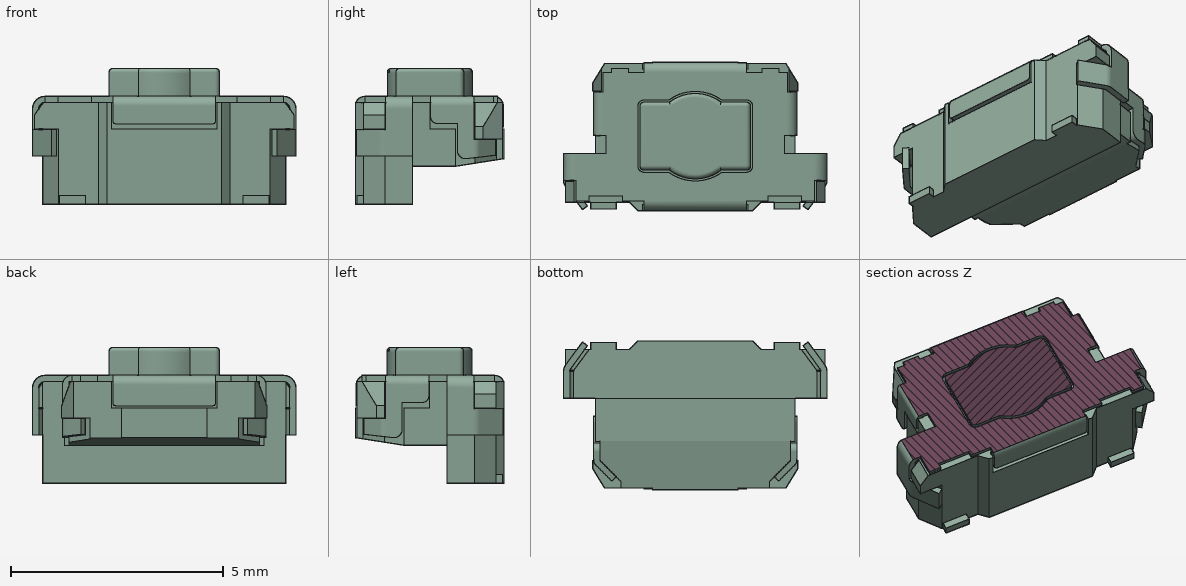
import cadquery as cq
import math


total_height = 3.2
cover_top = 2.54
sheet = 0.15
housing_top = cover_top - sheet

button_half_x = 1.3
button_half_y = 0.8
button_lobe_radius = 1.005
button_center_y = 1.755
button_edge_radius = 0.1
button_clearance = 0.05

wing_rear_y = 1.35
relief_half_x = 2.095
front_notch_x = (1.71, 2.5)
front_notch_depth = 0.12
rear_tongue_x = (1.575, 1.97)
rear_tongue_length = 0.09

bend_radius = 0.23
wing_bend_radius = 0.3
wing_outer_x = 3.1
wing_front_y = 0.71
wing_bottom = 1.135
end_flange_half_x = 1.21
end_flange_corner_radius = 0.075
front_flange_bottom = 1.89
rear_flange_bottom = 1.82
rear_flange_y = 3.485
plate_front_y = bend_radius
plate_rear_y = rear_flange_y - bend_radius
side_outer_x = 2.395
side_front_y = 1.775
side_rear_y = 2.79
side_leg_front_y = 2.4
side_step_z = 1.905
side_bottom = 1.07
side_tip_bottom = 1.155
side_step_radius = 0.15
side_corner_radius = 0.2

front_wrap_angle = 36
front_wrap_radius = bend_radius
front_tab_top = 1.755
front_tab_tip_y = 0.025
rear_wrap_angle = 45
rear_wrap_radius = 0.185
rear_tab_top = 1.525
rear_tab_tip_y = 3.3

front_face_y = 0.2
front_half_x = 2.86
front_slant_start_y = 0.695
front_slant_half_x = 2.49
boss_half_x = 1.35
boss_root_half_x = 1.55
ear_half_x = 3.055
ear_bottom = 1.775
ear_chamfer_x = 0.205
ear_chamfer_z = 0.3

rear_half_x = 2.35
rear_face_y = 3.465
rear_bottom = 0.89
slope_start_y = 2.36
slope_end_z = 1.07
rear_slant_start_y = 2.815
rear_slant_end_y = 3.32
rear_ear_bottom = 1.53
rear_ear_half_x = 2.41
rear_ear_slant_y = 3.01
rear_ear_tip_half_x = 2.13
rear_ear_chamfer_bottom = 1.83
rear_ear_top_half_x = 2.21
ledge_half_x = 1.01
ledge_rear_y = 3.5
seat_front_y = 1.76

pocket_half_x = 1.245
pocket_bottom = 1.775
terminal_x = (1.855, 2.46)
terminal_front_y = 0.04
terminal_height = 0.205


def box(x0, x1, y0, y1, z0, z1):
    return cq.Workplane("XY").box(x1 - x0, y1 - y0, z1 - z0, centered=False).translate((x0, y0, z0))


def both_sides(body):
    """A +X side feature together with its mirror image."""
    return body.union(body.mirror("YZ"))


def prism(points, z0, z1):
    """A plan outline extruded from z0 to z1."""
    return cq.Workplane("XY").workplane(offset=z0).polyline(points).close().extrude(z1 - z0)


def symmetric_prism(right_points, z0, z1):
    """A prism whose plan outline is given on the +X side and mirrored to the other."""
    left_points = [(-x, y) for x, y in reversed(right_points)]
    return prism(right_points + left_points, z0, z1)


def button_prism(height, clearance=0):
    """The button outline, grown by the clearance, extruded from the top of the housing."""
    half_x = button_half_x + clearance
    half_y = button_half_y + clearance
    lobe_radius = button_lobe_radius + clearance
    lobe_half_x = math.sqrt(lobe_radius**2 - half_y**2)
    bar = box(-half_x, half_x, -half_y, half_y, 0, height).edges("|Z").fillet(button_edge_radius + clearance)
    strip = box(-lobe_half_x, lobe_half_x, -lobe_radius, lobe_radius, 0, height)
    lobes = cq.Workplane("XY").circle(lobe_radius).extrude(height).intersect(strip)
    return bar.union(lobes).translate((0, button_center_y, housing_top))


def make_button():
    blank = button_prism(total_height - housing_top)
    return blank.faces(">Z").edges().fillet(button_edge_radius)


def flange(middle, outward, width, radius, bottom):
    """An L-shaped bend whose outer face passes through `middle`, hanging from the plate to `bottom`."""
    along = cq.Vector(*outward).cross(cq.Vector(0, 0, 1))
    plane = cq.Plane(origin=(*middle, 0), xDir=outward, normal=along.toTuple())
    inner_radius = radius - sheet
    bend_z = cover_top - radius
    diagonal = math.sqrt(0.5)
    outer_mid = (-radius + radius * diagonal, bend_z + radius * diagonal)
    inner_mid = (-radius + inner_radius * diagonal, bend_z + inner_radius * diagonal)
    profile = (
        cq.Workplane(plane)
        .moveTo(-radius, cover_top)
        .threePointArc(outer_mid, (0, bend_z))
        .lineTo(0, bottom)
        .lineTo(-sheet, bottom)
        .lineTo(-sheet, bend_z)
        .threePointArc(inner_mid, (-radius, housing_top))
        .close()
    )
    return profile.extrude(width / 2, both=True)


def wrap_tab(outer_x, bend_y, tip_y, radius, degrees, z0, z1):
    """A tab that continues a +X flange past bend_y and turns inward until its outer face reaches tip_y."""
    center_x = outer_x - radius
    inner_radius = radius - sheet
    angle = math.radians(degrees)
    toward = math.copysign(1, tip_y - bend_y)

    def on_bend(arc_radius, turn):
        return (center_x + arc_radius * math.cos(turn), bend_y + toward * arc_radius * math.sin(turn))

    outer_end = on_bend(radius, angle)
    inner_end = on_bend(inner_radius, angle)
    run_y = tip_y - outer_end[1]
    run_x = -abs(run_y) * math.tan(angle)
    return (
        cq.Workplane("XY")
        .workplane(offset=z0)
        .moveTo(outer_x, bend_y)
        .threePointArc(on_bend(radius, angle / 2), outer_end)
        .line(run_x, run_y)
        .lineTo(inner_end[0] + run_x, inner_end[1] + run_y)
        .lineTo(*inner_end)
        .threePointArc(on_bend(inner_radius, angle / 2), (outer_x - sheet, bend_y))
        .close()
        .extrude(z1 - z0)
    )


def cover_plate():
    wing_edge_x = wing_outer_x - wing_bend_radius
    side_edge_x = side_outer_x - bend_radius
    right_outline = [
        (wing_edge_x, plate_front_y),
        (wing_edge_x, wing_rear_y),
        (relief_half_x, wing_rear_y),
        (relief_half_x, side_front_y),
        (side_edge_x, side_front_y),
        (side_edge_x, plate_rear_y),
    ]
    plate = symmetric_prism(right_outline, housing_top, cover_top)
    notch = box(*front_notch_x, plate_front_y, plate_front_y + front_notch_depth, housing_top, cover_top)
    tongue = box(*rear_tongue_x, plate_rear_y, plate_rear_y + rear_tongue_length, housing_top, cover_top)
    opening = button_prism(sheet, button_clearance)
    return plate.cut(both_sides(notch)).union(both_sides(tongue)).cut(opening)


def wing():
    middle = (wing_outer_x, (wing_front_y + wing_rear_y) / 2)
    plain = flange(middle, (1, 0, 0), wing_rear_y - wing_front_y, wing_bend_radius, wing_bottom)
    tab = wrap_tab(
        wing_outer_x, wing_front_y, front_tab_tip_y,
        front_wrap_radius, front_wrap_angle, wing_bottom, front_tab_top,
    )
    return plain.union(tab)


def side_flange():
    """A stepped flange whose long rear leg ends in a wrap tab with a slanted lower edge."""
    middle = (side_outer_x, (side_front_y + side_rear_y) / 2)
    plain = flange(middle, (1, 0, 0), side_rear_y - side_front_y, bend_radius, side_bottom)
    tab = wrap_tab(
        side_outer_x, side_rear_y, rear_tab_tip_y,
        rear_wrap_radius, rear_wrap_angle, side_bottom, rear_tab_top,
    )
    outline = (
        cq.Workplane("YZ")
        .moveTo(side_front_y, cover_top)
        .lineTo(side_front_y, side_step_z + side_step_radius)
        .radiusArc((side_front_y + side_step_radius, side_step_z), -side_step_radius)
        .lineTo(side_leg_front_y, side_step_z)
        .lineTo(side_leg_front_y, side_bottom + side_corner_radius)
        .radiusArc((side_leg_front_y + side_corner_radius, side_bottom), -side_corner_radius)
        .lineTo(rear_tab_tip_y, side_tip_bottom)
        .lineTo(rear_tab_tip_y, cover_top)
        .close()
        .extrude(wing_outer_x)
    )
    return plain.union(tab).intersect(outline)


def end_flange(outer_y, outward_y, bottom):
    plain = flange((0, outer_y), (0, outward_y, 0), 2 * end_flange_half_x, bend_radius, bottom)
    return plain.edges("|Y and <Z").fillet(end_flange_corner_radius)


def make_cover():
    cover = cover_plate().union(both_sides(wing())).union(both_sides(side_flange()))
    cover = cover.union(end_flange(0, -1, front_flange_bottom))
    return cover.union(end_flange(rear_flange_y, 1, rear_flange_bottom))


def front_block():
    right_outline = [
        (boss_half_x, 0),
        (boss_root_half_x, front_face_y),
        (front_slant_half_x, front_face_y),
        (front_half_x, front_slant_start_y),
        (front_half_x, wing_rear_y),
    ]
    return symmetric_prism(right_outline, 0, housing_top)


def front_ear():
    ear = box(front_slant_half_x, ear_half_x, front_face_y, front_slant_start_y, ear_bottom, housing_top)
    corner = cq.Workplane("XZ").polyline([
        (ear_half_x - ear_chamfer_x, housing_top),
        (ear_half_x, housing_top),
        (ear_half_x, housing_top - ear_chamfer_z),
    ]).close().extrude(-front_slant_start_y)
    return ear.cut(corner)


def rear_block():
    seat_x = side_outer_x - sheet
    slant_end_x = seat_x - (rear_slant_end_y - rear_slant_start_y) * math.tan(math.radians(rear_wrap_angle))
    right_outline = [
        (rear_half_x, wing_rear_y),
        (rear_half_x, slope_start_y),
        (seat_x, slope_start_y),
        (seat_x, rear_slant_start_y),
        (slant_end_x, rear_slant_end_y),
        (slant_end_x, rear_face_y),
    ]
    block = symmetric_prism(right_outline, rear_bottom, housing_top)
    seat = box(seat_x, rear_half_x, seat_front_y, slope_start_y, ear_bottom, housing_top)
    ledge = box(-ledge_half_x, ledge_half_x, rear_face_y, ledge_rear_y, rear_bottom, pocket_bottom)
    block = block.cut(both_sides(seat)).union(ledge)
    below_slope = cq.Workplane("YZ").polyline([
        (slope_start_y, rear_bottom),
        (ledge_rear_y, rear_bottom),
        (ledge_rear_y, slope_end_z),
    ]).close().extrude(rear_half_x, both=True)
    return block.cut(below_slope)


def rear_ear():
    return prism([
        (0, rear_slant_start_y),
        (rear_ear_half_x, rear_slant_start_y),
        (rear_ear_half_x, rear_ear_slant_y),
        (rear_ear_tip_half_x, rear_face_y),
        (0, rear_face_y),
    ], rear_ear_bottom, housing_top)


def rear_ear_chamfer():
    """The wedge removed from the upper edge of a rear ear."""
    section = cq.Workplane("XZ", origin=(0, rear_slant_start_y, 0)).polyline([
        (rear_ear_top_half_x, housing_top),
        (rear_ear_half_x, housing_top),
        (rear_ear_half_x, rear_ear_chamfer_bottom),
    ])
    return section.close().extrude(rear_slant_start_y - rear_face_y)


def make_housing(cover):
    housing = front_block().union(rear_block())
    housing = housing.union(both_sides(front_ear())).union(both_sides(rear_ear()))
    housing = housing.cut(both_sides(rear_ear_chamfer()))
    front_pocket = box(-pocket_half_x, pocket_half_x, 0, sheet, pocket_bottom, housing_top)
    rear_pocket = box(
        -pocket_half_x, pocket_half_x, rear_flange_y - sheet, rear_face_y, pocket_bottom, housing_top
    )
    terminal = box(*terminal_x, terminal_front_y, front_face_y, 0, terminal_height)
    housing = housing.cut(front_pocket).cut(rear_pocket).union(both_sides(terminal))
    return housing.cut(cover)


button = make_button()
cover = make_cover()
housing = make_housing(cover)

result = cq.Compound.makeCompound([body.solids().val() for body in (housing, cover, button)])